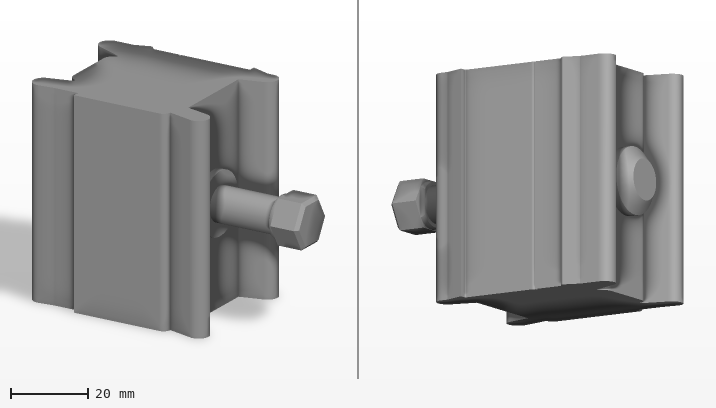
import cadquery as cq
import math


block_height = 60.0
half_depth = 20.0
web_left_x = -19.9
web_right_x = 18.0

wing_radius = 3.0
wing_reach = 27.0
wing_x = wing_reach - wing_radius
wing_y = half_depth - wing_radius
low_left_wing_y = -15.6
wing_flank_angle = 14.0
steep_flank_angle = 24.4
lower_right_outer_angle = 15.0
lower_left_outer_angle = 6.5

notch_x = -17.6
web_edge_radius = 2.75
web_edge_y = 7.4

bump_foot_x = -18.4
bump_tip_x = -14.0
bump_tip_y = 21.45
bump_shoulder = (-13.5, 21.3)
bump_end_x = -12.5
peak_x = 16.8
peak_y = 21.95
peak_foot_x = 22.2
corner_radius = 0.4

groove_x = -4.6
groove_width = 0.25
groove_depth = 1.6
groove_lip_radius = 0.8

step_x = -12.0
step_y = -18.1
step_start_x = -19.15
lower_edge_x = 15.95
lower_edge_radius = 2.0

disc_diameter = 18.0
disc_tip_diameter = 11.0
disc_tip_x = -25.55
disc_cone_x = -22.5
flange_end_x = 20.0
shank_diameter = 10.0
collar_x = 38.6
collar_front_radius = 6.0
collar_back_radius = 6.4
collar_mid_radius = 6.28
head_x = 39.9
head_end_x = 48.0
head_across_flats = 13.0
head_chamfer = 0.95


def polar(center, radius, degrees):
    angle = math.radians(degrees)
    return (center[0] + radius * math.cos(angle), center[1] + radius * math.sin(angle))


def along(point, degrees, x):
    """Point at the given x on the line through point, sloping at degrees to X."""
    return (x, point[1] + (x - point[0]) * math.tan(math.radians(degrees)))


def add_arc(path, center, radius, start, end):
    """Line to the start of an arc, then the arc, with angles in degrees."""
    path = path.lineTo(*polar(center, radius, start))
    middle = polar(center, radius, (start + end) / 2)
    return path.threePointArc(middle, polar(center, radius, end))


def make_block():
    upper_left = (-wing_x, wing_y)
    upper_right = (wing_x, wing_y)
    lower_right = (wing_x, -wing_y)
    lower_left = (-wing_x, low_left_wing_y)
    edge_center_x = web_left_x + web_edge_radius
    edge_sweep = math.degrees(math.acos((edge_center_x - notch_x) / web_edge_radius))

    path = cq.Workplane("XY").moveTo(web_left_x, 0)

    path = add_arc(path, (edge_center_x, web_edge_y), web_edge_radius, 180, 180 - edge_sweep)
    flank = 270 - steep_flank_angle
    tangent = polar(upper_left, wing_radius, flank)
    path = path.lineTo(*along(tangent, -steep_flank_angle, notch_x))
    path = add_arc(path, upper_left, wing_radius, flank, 90)

    path = path.lineTo(bump_foot_x, half_depth).lineTo(bump_tip_x, bump_tip_y)
    path = path.lineTo(*bump_shoulder).lineTo(bump_end_x, half_depth)

    groove_end_x = groove_x + groove_width
    path = path.lineTo(groove_x, half_depth).lineTo(groove_x, half_depth - groove_depth)
    path = path.lineTo(groove_end_x, half_depth - groove_depth)
    lip_center = (groove_end_x + groove_lip_radius, half_depth - groove_lip_radius)
    path = add_arc(path, lip_center, groove_lip_radius, 180, 90)

    corner = (peak_x - corner_radius, half_depth + corner_radius)
    path = add_arc(path, corner, corner_radius, -90, 0)
    path = path.lineTo(peak_x, peak_y).lineTo(peak_foot_x, half_depth)
    path = add_arc(path, upper_right, wing_radius, 90, wing_flank_angle - 90)
    tangent = polar(upper_right, wing_radius, wing_flank_angle - 90)
    path = path.lineTo(*along(tangent, wing_flank_angle, web_right_x))

    tangent = polar(lower_right, wing_radius, 90 - wing_flank_angle)
    path = path.lineTo(*along(tangent, -wing_flank_angle, web_right_x))
    outer = -90 - lower_right_outer_angle
    path = add_arc(path, lower_right, wing_radius, 90 - wing_flank_angle, outer)
    tangent = polar(lower_right, wing_radius, outer)
    path = path.lineTo(*along(tangent, -lower_right_outer_angle, lower_edge_x))

    edge_center = (lower_edge_x - lower_edge_radius, lower_edge_radius - half_depth)
    path = add_arc(path, edge_center, lower_edge_radius, 0, -90)
    path = path.lineTo(step_x, -half_depth)
    corner = (step_x - corner_radius, step_y - corner_radius)
    path = add_arc(path, corner, corner_radius, 0, 90)
    path = path.lineTo(step_start_x, step_y)

    flank = wing_flank_angle - 270
    path = add_arc(path, lower_left, wing_radius, lower_left_outer_angle - 90, flank)
    tangent = polar(lower_left, wing_radius, flank)
    path = path.lineTo(*along(tangent, wing_flank_angle, notch_x))
    path = add_arc(path, (edge_center_x, -web_edge_y), web_edge_radius, 180 + edge_sweep, 180)

    return path.close().extrude(block_height).translate((0, 0, -block_height / 2))


def make_bolt_body():
    """Coned disc, flange and shank, revolved about the X axis."""
    half_profile = [
        (disc_tip_x, 0),
        (disc_tip_x, disc_tip_diameter / 2),
        (disc_cone_x, disc_diameter / 2),
        (flange_end_x, disc_diameter / 2),
        (flange_end_x, shank_diameter / 2),
        (head_x, shank_diameter / 2),
        (head_x, 0),
    ]
    return cq.Workplane("XY").polyline(half_profile).close().revolve(360, (0, 0, 0), (1, 0, 0))


def make_collar():
    """Crowned collar under the head, cut flat on +Y level with the shank."""
    collar = (
        cq.Workplane("XY")
        .moveTo(collar_x, 0)
        .lineTo(collar_x, collar_front_radius)
        .threePointArc(
            ((collar_x + head_x) / 2, collar_mid_radius),
            (head_x, collar_back_radius),
        )
        .lineTo(head_x, 0)
        .close()
        .revolve(360, (0, 0, 0), (1, 0, 0))
    )
    cut_size = 2 * head_across_flats
    cutter = cq.Workplane("XY").box(cut_size, cut_size, cut_size)
    return collar.cut(cutter.translate((head_x, (cut_size + shank_diameter) / 2, 0)))


def make_head():
    """Hexagon head with corners on the Y axis and a chamfered end."""
    across_corners = head_across_flats / math.cos(math.radians(30))
    return (
        cq.Workplane("YZ", origin=(head_x, 0, 0))
        .polygon(6, across_corners)
        .extrude(head_end_x - head_x)
        .faces(">X")
        .chamfer(head_chamfer)
    )


result = make_block().union(make_bolt_body()).union(make_collar()).union(make_head())